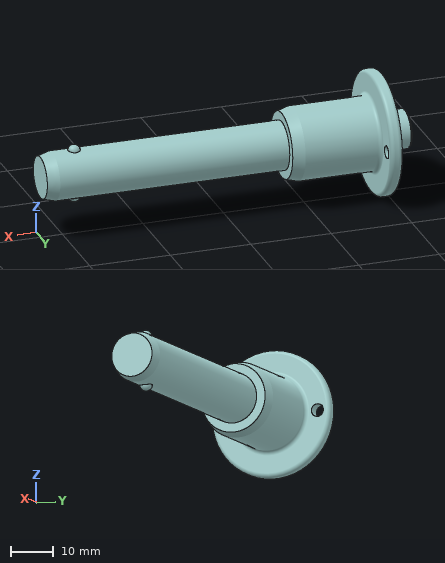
import cadquery as cq

overall_length = 91.0
button_length = 5.9
flange_thickness = 3.1
handle_end = 31.0

flange_radius = 30.6 / 2
flange_round = 1.0
collar_radius = 18.0 / 2
collar_root_fillet = 1.0
lanyard_hole_diameter = 3.0
lanyard_hole_offset = 12.0

button_radius = 9.65 / 2
button_chamfer = 0.5

shank_radius = 12.0 / 2
ball_radius = 1.55
ball_projection = 1.3
ball_to_tip = 8.4

nose_length = 3.0
nose_drop = 0.8

flange_back = button_length
flange_front = flange_back + flange_thickness


def add_tapered_nose(profile, end, radius):
    """Run a half profile along its side, down the taper and back to the axis."""
    return (
        profile.lineTo(end - nose_length, radius)
        .lineTo(end, radius - nose_drop)
        .lineTo(end, 0)
        .close()
    )


def revolve_about_x(profile):
    """Turn a closed half profile about the X axis."""
    return profile.revolve(360, (0, 0, 0), (1, 0, 0))


def make_handle():
    """Flange with a round rim, filleted collar and lanyard hole."""
    profile = (
        cq.Workplane("XY")
        .moveTo(flange_back, 0)
        .lineTo(flange_back, flange_radius - flange_round)
        .tangentArcPoint((flange_round, flange_round))
        .lineTo(flange_front - flange_round, flange_radius)
        .tangentArcPoint((flange_round, -flange_round))
        .lineTo(flange_front, collar_radius + collar_root_fillet)
        .tangentArcPoint((collar_root_fillet, -collar_root_fillet))
    )
    handle = revolve_about_x(add_tapered_nose(profile, handle_end, collar_radius))
    lanyard_hole = (
        cq.Workplane("YZ", origin=(flange_back, lanyard_hole_offset, 0))
        .circle(lanyard_hole_diameter / 2)
        .extrude(flange_thickness)
    )
    return handle.cut(lanyard_hole)


def make_button():
    """Push button standing on the back of the flange."""
    return (
        cq.Workplane("YZ")
        .circle(button_radius)
        .extrude(button_length)
        .faces("<X")
        .chamfer(button_chamfer)
    )


def make_shank():
    """Shank with a locking ball bulging from each side of its tip."""
    profile = cq.Workplane("XY").moveTo(handle_end, 0).lineTo(handle_end, shank_radius)
    shank = revolve_about_x(add_tapered_nose(profile, overall_length, shank_radius))
    ball_x = overall_length - ball_to_tip
    ball_height = shank_radius + ball_projection - ball_radius
    for side in (-1, 1):
        ball = cq.Workplane("XY").sphere(ball_radius).translate((ball_x, 0, side * ball_height))
        shank = shank.union(ball)
    return shank


handle = make_handle()
button = make_button()
shank = make_shank()

result = cq.Compound.makeCompound([handle.val(), button.val(), shank.val()])